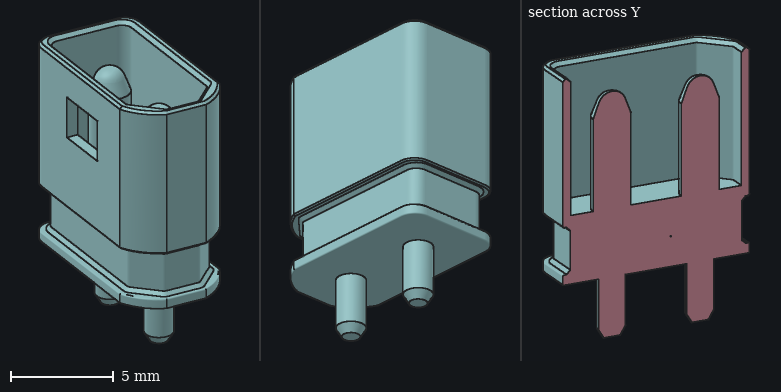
import cadquery as cq
import math


length = 10.2
width = 5.6
corner_radius = 0.88
key_arc_start_x = 3.47
key_flat_half_width = 1.1
key_arc_bulge = 0.23

total_height = 13.78
tail_length = 3.09
shell_top = total_height - tail_length
shell_bottom = 2.98
flange_thickness = 0.55
rim_chamfer = 0.14
shell_bottom_chamfer = 0.08
flange_edge_radius = 0.08

neck_length = 9.37
neck_width = 4.57
neck_corner_radius = 0.62
neck_key_cut = 1.3
neck_key_radius = 0.23
neck_flare = 0.2

cavity_length = 9.29
cavity_width = 4.38
cavity_corner_radius = 0.54
cavity_key_cut = 1.32
cavity_key_radius = 0.14
cavity_lead_in = 0.2
cavity_floor = 3.58

window_left = -1.71
window_right = 1.25
window_top_depth = 1.72
window_height = 2.18

pin_pitch = 4.81
pin_radius = 2.08 / 2
dome_base_radius = 1.49 / 2
dome_height = 0.52
pin_shoulder_depth = 2.33
pin_cone_height = 0.76
tail_radius = 1.49 / 2
tail_tip_radius = 0.45
tail_tip_height = 0.47


def outer_prism(bottom, top):
    """Prism with two round corners at -X and two bulged key arcs at +X."""
    half_length = length / 2
    half_width = width / 2
    chord_x = half_length - key_arc_start_x
    chord_y = half_width - key_flat_half_width
    chord = math.hypot(chord_x, chord_y)
    arc_mid_x = (half_length + key_arc_start_x) / 2 + key_arc_bulge * chord_y / chord
    arc_mid_y = (half_width + key_flat_half_width) / 2 + key_arc_bulge * chord_x / chord
    prism = (
        cq.Workplane("XY", origin=(0, 0, bottom))
        .moveTo(-half_length, -half_width)
        .lineTo(key_arc_start_x, -half_width)
        .threePointArc((arc_mid_x, -arc_mid_y), (half_length, -key_flat_half_width))
        .lineTo(half_length, key_flat_half_width)
        .threePointArc((arc_mid_x, arc_mid_y), (key_arc_start_x, half_width))
        .lineTo(-half_length, half_width)
        .close()
        .extrude(top - bottom)
    )
    return prism.edges("|Z and <X").fillet(corner_radius)


def keyed_prism(size_x, size_y, key_cut, corner, key_corner, bottom, top):
    """Box with round corners at -X and bevelled, slightly rounded corners at +X."""
    prism = cq.Workplane("XY", origin=(0, 0, bottom)).box(
        size_x, size_y, top - bottom, centered=(True, True, False)
    )
    prism = prism.edges("|Z and >X").chamfer(key_cut)
    prism = prism.edges("|Z and <X").fillet(corner)
    key_edges = cq.selectors.BoxSelector(
        (size_x / 2 - 2 * key_cut, -size_y, bottom),
        (size_x, size_y, top),
    )
    return prism.edges("|Z").edges(key_edges).fillet(key_corner)


def flare_end(prism, face, height):
    """Extend a prism beyond one end face, spreading outward at 45 degrees."""
    flare = prism.faces(face).workplane().add(prism.faces(face).wires()).toPending().extrude(
        height, combine=False, taper=-45
    )
    return prism.union(flare)


def pin(x):
    """Contact pin with a domed nose above the cavity floor and a bevelled tail below."""
    shoulder = shell_top - pin_shoulder_depth
    dome_base = shoulder + pin_cone_height
    sphere_radius = (dome_base_radius**2 + dome_height**2) / (2 * dome_height)
    sphere_center = dome_base + dome_height - sphere_radius
    arc_mid = sphere_radius * math.sqrt(0.5)
    return (
        cq.Workplane("XZ")
        .moveTo(0, -tail_length)
        .lineTo(tail_tip_radius, -tail_length)
        .lineTo(tail_radius, tail_tip_height - tail_length)
        .lineTo(tail_radius, flange_thickness)
        .lineTo(pin_radius, flange_thickness)
        .lineTo(pin_radius, shoulder)
        .lineTo(dome_base_radius, dome_base)
        .threePointArc((arc_mid, sphere_center + arc_mid), (0, dome_base + dome_height))
        .close()
        .revolve(360, (0, 0, 0), (0, 1, 0))
        .translate((x, 0, 0))
    )


shell = outer_prism(shell_bottom, shell_top)
shell = shell.faces(">Z").edges().chamfer(rim_chamfer)
shell = shell.faces("<Z").edges().chamfer(shell_bottom_chamfer)
flange = outer_prism(0, flange_thickness).faces("|Z").edges().fillet(flange_edge_radius)
neck = keyed_prism(
    neck_length, neck_width, neck_key_cut, neck_corner_radius, neck_key_radius,
    flange_thickness + neck_flare, shell_bottom - neck_flare,
)
neck = flare_end(neck, "<Z", neck_flare)
neck = flare_end(neck, ">Z", neck_flare)
body = shell.union(flange).union(neck)

cavity = keyed_prism(
    cavity_length, cavity_width, cavity_key_cut, cavity_corner_radius, cavity_key_radius,
    cavity_floor, shell_top - cavity_lead_in,
)
cavity = flare_end(cavity, ">Z", cavity_lead_in)
body = body.cut(cavity)

window = cq.Workplane("XY").box(
    window_right - window_left, width / 2, window_height, centered=False
).translate((window_left, -width / 2, shell_top - window_top_depth - window_height))
body = body.cut(window)

result = body
for side in (-1, 1):
    result = result.union(pin(side * pin_pitch / 2))